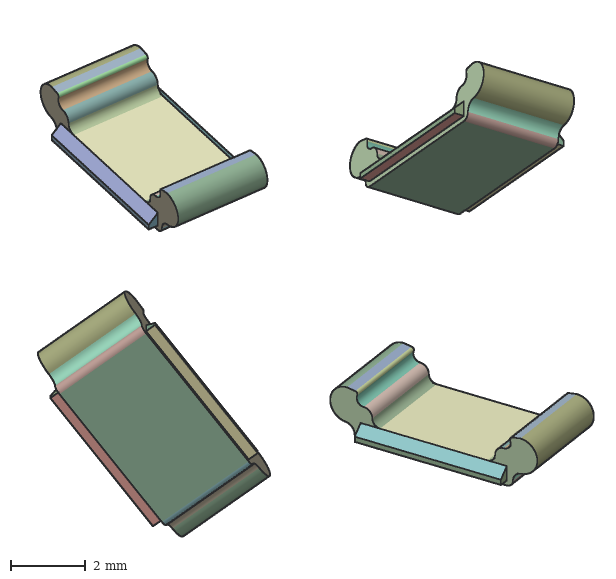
import cadquery as cq
import math

length = 6.5
height = 1.56
body_width = 2.9

roll_radius = 0.53
roll_x = length / 2 - roll_radius
roll_z = height - roll_radius

lip_slope = math.radians(9.0)
lip_radius = 0.085

floor_z = 0.6
shoulder_radius = 0.27
floor_fillet = 0.24
neck_radius = 0.215
neck_x = 2.2
shoulder_top_z = floor_z + floor_fillet + shoulder_radius
neck_z = shoulder_top_z + neck_radius

cove_radius = 0.3
foot_x = 2.48
cove_x = foot_x + cove_radius
cove_z = roll_z - math.sqrt((roll_radius + cove_radius) ** 2 - (cove_x - roll_x) ** 2)
foot_radius = cove_z

rail_length = 4.58
rail_projection = 0.3
rail_bottom_z = 0.155
rail_edge_z = 0.32


def arc_point(center, radius, angle):
    return (center[0] + radius * math.cos(angle), center[1] + radius * math.sin(angle))


def direction(start, end):
    return math.atan2(end[1] - start[1], end[0] - start[0])


def lip_tip_center(neck):
    """Center of the lip rounding, tangent to the sloping flat and to the neck."""
    along = (-math.cos(lip_slope), -math.sin(lip_slope))
    base = (roll_x + lip_radius * math.sin(lip_slope), height - lip_radius * math.cos(lip_slope))
    offset = (neck[0] - base[0], neck[1] - base[1])
    nearest = offset[0] * along[0] + offset[1] * along[1]
    clearance_squared = offset[0] ** 2 + offset[1] ** 2 - nearest ** 2
    travel = nearest - math.sqrt((neck_radius + lip_radius) ** 2 - clearance_squared)
    return (base[0] + travel * along[0], base[1] + travel * along[1])


def half_body():
    """Half of the tray, from the middle plane to the +X roll."""
    roll = (roll_x, roll_z)
    neck = (neck_x, neck_z)
    cove = (cove_x, cove_z)
    foot = (foot_x - foot_radius, foot_radius)
    shoulder = (neck_x, shoulder_top_z - shoulder_radius)
    fillet = (neck_x - shoulder_radius - floor_fillet, floor_z + floor_fillet)
    lip = lip_tip_center(neck)

    lip_start = math.pi / 2 + lip_slope
    lip_end = direction(lip, neck) % (2 * math.pi)
    neck_start = direction(neck, lip)
    neck_end = -math.pi / 2
    cove_end = direction(cove, roll)
    diagonal = math.pi / 4

    profile = (
        cq.Workplane("XZ")
        .moveTo(0, 0)
        .lineTo(foot[0], 0)
        .threePointArc(arc_point(foot, foot_radius, -diagonal), (foot_x, foot_radius))
        .threePointArc(
            arc_point(cove, cove_radius, (math.pi + cove_end) / 2),
            arc_point(cove, cove_radius, cove_end),
        )
        .threePointArc((length / 2, roll_z), (roll_x, height))
        .lineTo(*arc_point(lip, lip_radius, lip_start))
        .threePointArc(
            arc_point(lip, lip_radius, (lip_start + lip_end) / 2),
            arc_point(lip, lip_radius, lip_end),
        )
        .threePointArc(
            arc_point(neck, neck_radius, (neck_start + neck_end) / 2),
            (neck_x, shoulder_top_z),
        )
        .threePointArc(
            arc_point(shoulder, shoulder_radius, 3 * diagonal),
            (neck_x - shoulder_radius, shoulder[1]),
        )
        .threePointArc(arc_point(fillet, floor_fillet, -diagonal), (fillet[0], floor_z))
        .lineTo(0, floor_z)
        .close()
    )
    return profile.extrude(body_width / 2, both=True)


def rails():
    """Both rails as one bar running across the full width of the tray."""
    inner_y = body_width / 2
    outer_y = inner_y + rail_projection
    outline = [
        (-outer_y, rail_bottom_z),
        (outer_y, rail_bottom_z),
        (outer_y, rail_edge_z),
        (inner_y, floor_z),
        (-inner_y, floor_z),
        (-outer_y, rail_edge_z),
    ]
    return cq.Workplane("YZ").polyline(outline).close().extrude(rail_length / 2, both=True)


half = half_body()
result = half.union(half.mirror("YZ")).union(rails()).clean()